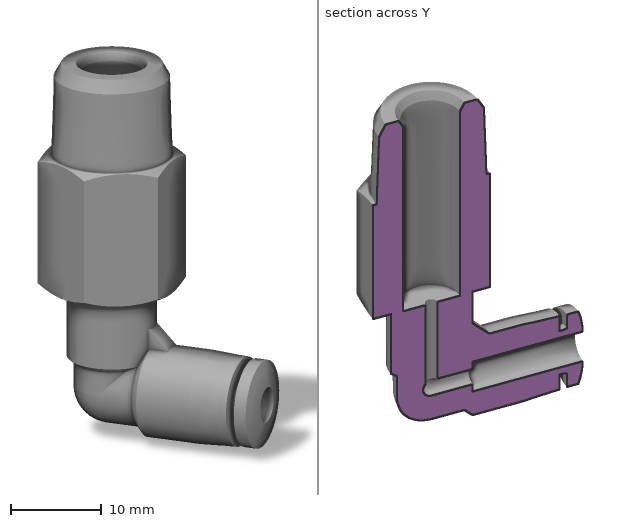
import cadquery as cq
import math


TOP_Z = 37.5
THREAD_CHAMFER_HEIGHT = 1.45
THREAD_TIP_RADIUS = 5.6
THREAD_SMALL_RADIUS = 6.42
THREAD_LARGE_RADIUS = 6.72
HEX_TOP_Z = 27.0
HEX_BOTTOM_Z = 11.5
HEX_ACROSS_CORNERS = 16.5
HEX_CHAMFER_RADIUS = 7.1
HEX_CHAMFER_ANGLE = 30.0
STEM_RADIUS = 10.0 / 2
STEM_CHAMFER_TOP_Z = 3.45
STEM_CHAMFER_BOTTOM_Z = 2.85

ELBOW_RADIUS = 4.25
BODY_RADIUS = 10.5 / 2
BODY_CONE_END_X = 5.0
BODY_TAPER_START_X = 11.25
BODY_TAPER_END_X = 14.2
BODY_TAPER_END_RADIUS = 5.08
BODY_END_X = 15.6
BODY_END_RADIUS = 5.03

COLLAR_NECK_RADIUS = 5.97 / 2
COLLAR_RADIUS = 9.9 / 2
COLLAR_START_X = 16.5
COLLAR_RIM_X = 17.9
COLLAR_END_X = 18.445
COLLAR_NECK_FLARE_X = 16.1
COLLAR_NECK_FLARE = 0.12

RIB_THICKNESS = 2.5
RIB_REACH = 12.3

STUD_BORE_RADIUS = 6.86 / 2
STUD_BORE_MOUTH_RADIUS = 4.0
STUD_BORE_MOUTH_ANGLE = 60.0
STUD_BORE_FLOOR_Z = HEX_BOTTOM_Z
ORIFICE_RADIUS = 1.4 / 2
CROSS_BORE_RADIUS = 2.0 / 2
TUBE_BORE_RADIUS = 3.97 / 2
TUBE_STOP_X = BODY_CONE_END_X


def rod_z(radius, z_start, z_end):
    """Cylinder on the Z axis."""
    return cq.Workplane("XY").workplane(offset=z_start).circle(radius).extrude(z_end - z_start)


def rod_x(radius, x_start, x_end):
    """Cylinder on the X axis."""
    return cq.Workplane("YZ").workplane(offset=x_start).circle(radius).extrude(x_end - x_start)


def revolve_z(points):
    """Turned solid from (radius, z) points."""
    return cq.Workplane("XZ").polyline(points).close().revolve(360, (0, 0, 0), (0, 1, 0))


def revolve_x(profile):
    """Turned solid from a closed (x, radius) profile."""
    return profile.close().revolve(360, (0, 0, 0), (1, 0, 0))


def make_thread():
    chamfer_z = TOP_Z - THREAD_CHAMFER_HEIGHT
    return revolve_z([
        (0, HEX_TOP_Z),
        (THREAD_LARGE_RADIUS, HEX_TOP_Z),
        (THREAD_SMALL_RADIUS, chamfer_z),
        (THREAD_TIP_RADIUS, TOP_Z),
        (0, TOP_Z),
    ])


def make_hexagon():
    """Hexagon with corners on +Y and -Y, both ends chamfered by a cone."""
    corner_radius = HEX_ACROSS_CORNERS / 2
    prism = (
        cq.Workplane("XY")
        .workplane(offset=HEX_BOTTOM_Z)
        .transformed(rotate=(0, 0, 90))
        .polygon(6, HEX_ACROSS_CORNERS)
        .extrude(HEX_TOP_Z - HEX_BOTTOM_Z)
    )
    drop = (corner_radius - HEX_CHAMFER_RADIUS) * math.tan(math.radians(HEX_CHAMFER_ANGLE))
    envelope = revolve_z([
        (0, HEX_BOTTOM_Z),
        (HEX_CHAMFER_RADIUS, HEX_BOTTOM_Z),
        (corner_radius, HEX_BOTTOM_Z + drop),
        (corner_radius, HEX_TOP_Z - drop),
        (HEX_CHAMFER_RADIUS, HEX_TOP_Z),
        (0, HEX_TOP_Z),
    ])
    return prism.intersect(envelope)


def make_stem():
    return revolve_z([
        (0, STEM_CHAMFER_BOTTOM_Z),
        (ELBOW_RADIUS, STEM_CHAMFER_BOTTOM_Z),
        (STEM_RADIUS, STEM_CHAMFER_TOP_Z),
        (STEM_RADIUS, HEX_BOTTOM_Z),
        (0, HEX_BOTTOM_Z),
    ])


def make_elbow():
    """Two equal rods meeting at the origin, with a ball rounding the outer corner."""
    upright = rod_z(ELBOW_RADIUS, 0, STEM_CHAMFER_BOTTOM_Z)
    level = rod_x(ELBOW_RADIUS, 0, BODY_CONE_END_X)
    ball = cq.Workplane("XY").sphere(ELBOW_RADIUS)
    return ball.union(upright).union(level)


def make_socket_body():
    cone_start_x = BODY_CONE_END_X - (BODY_RADIUS - ELBOW_RADIUS)
    return revolve_x(
        cq.Workplane("XY")
        .moveTo(cone_start_x, 0)
        .lineTo(cone_start_x, ELBOW_RADIUS)
        .lineTo(BODY_CONE_END_X, BODY_RADIUS)
        .lineTo(BODY_TAPER_START_X, BODY_RADIUS)
        .lineTo(BODY_TAPER_END_X, BODY_TAPER_END_RADIUS)
        .lineTo(BODY_END_X, BODY_END_RADIUS)
        .lineTo(BODY_END_X, 0)
    )


def make_collar():
    """Neck with a slight flare, then a disc whose domed face flattens toward the tube bore."""
    rise = COLLAR_END_X - COLLAR_RIM_X
    span = COLLAR_RADIUS - TUBE_BORE_RADIUS
    dome_radius = (span ** 2 + rise ** 2) / (2 * rise)
    half_span = span / 2
    dome_mid_x = COLLAR_END_X - dome_radius + math.sqrt(dome_radius ** 2 - half_span ** 2)
    dome_mid = (dome_mid_x, TUBE_BORE_RADIUS + half_span)
    return revolve_x(
        cq.Workplane("XY")
        .moveTo(BODY_END_X, 0)
        .lineTo(BODY_END_X, COLLAR_NECK_RADIUS)
        .lineTo(COLLAR_NECK_FLARE_X, COLLAR_NECK_RADIUS)
        .lineTo(COLLAR_START_X, COLLAR_NECK_RADIUS + COLLAR_NECK_FLARE)
        .lineTo(COLLAR_START_X, COLLAR_RADIUS)
        .lineTo(COLLAR_RIM_X, COLLAR_RADIUS)
        .threePointArc(dome_mid, (COLLAR_END_X, TUBE_BORE_RADIUS))
        .lineTo(COLLAR_END_X, 0)
    )


def make_rib():
    """Triangular web with a 45 degree edge between the stem and the socket body."""
    corner = ELBOW_RADIUS
    return (
        cq.Workplane("XZ")
        .polyline([(corner, corner), (RIB_REACH - corner, corner), (corner, RIB_REACH - corner)])
        .close()
        .extrude(RIB_THICKNESS / 2, both=True)
    )


def make_passages():
    """Stud bore, orifice, cross bore with a ball end, and tube bore as one tool."""
    mouth_widening = STUD_BORE_MOUTH_RADIUS - STUD_BORE_RADIUS
    mouth_depth = mouth_widening * math.tan(math.radians(STUD_BORE_MOUTH_ANGLE))
    stud_bore = revolve_z([
        (0, STUD_BORE_FLOOR_Z),
        (STUD_BORE_RADIUS, STUD_BORE_FLOOR_Z),
        (STUD_BORE_RADIUS, TOP_Z - mouth_depth),
        (STUD_BORE_MOUTH_RADIUS, TOP_Z),
        (0, TOP_Z),
    ])
    orifice = rod_z(ORIFICE_RADIUS, 0, STUD_BORE_FLOOR_Z)
    ball_end = cq.Workplane("XY").sphere(CROSS_BORE_RADIUS)
    cross_bore = rod_x(CROSS_BORE_RADIUS, 0, TUBE_STOP_X)
    tube_bore = rod_x(TUBE_BORE_RADIUS, TUBE_STOP_X, COLLAR_END_X)
    return stud_bore.union(orifice).union(ball_end).union(cross_bore).union(tube_bore)


result = make_thread()
for section in (make_hexagon, make_stem, make_elbow, make_socket_body, make_collar, make_rib):
    result = result.union(section())
result = result.cut(make_passages()).solids()